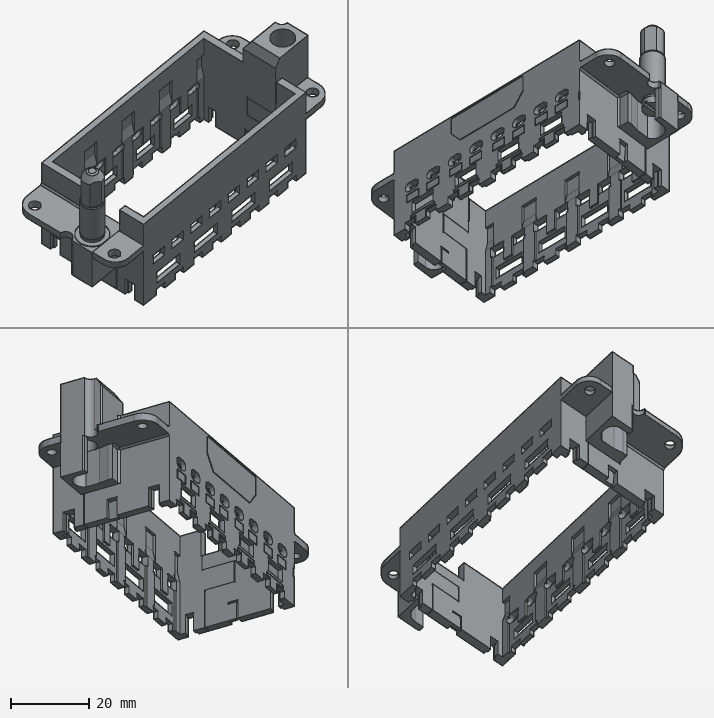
import cadquery as cq
import math

FRAME_W, FRAME_L, FRAME_H = 34.4, 63.55, 29.0
OPENING_W, OPENING_L = 30.8, 59.2
OUT_X, OUT_Y = FRAME_W / 2, FRAME_L / 2
IN_X, IN_Y = OPENING_W / 2, OPENING_L / 2
OVERALL_L = 84.5
END_Y = OVERALL_L / 2
WALL = OUT_X - IN_X

FLANGE_BOTTOM, FLANGE_TOP = 19.35, 21.4
FLANGE_END_Y = 42.1
FLANGE_CORNER_R = 4.5
MOUNT_X, MOUNT_Y = 13.4, 38.8
MOUNT_R, MOUNT_RIM_R = 1.35, 1.6
NOTCH_R = 1.9
CORNER_STRIP = 0.5

BLOCK_LEFT, BLOCK_RIGHT = -2.2, 8.9
BLOCK_BOTTOM = 9.0
SHELF_Y, SHELF_RIGHT = 35.0, -0.85
POCKET_LEFT, POCKET_Y = 1.9, 34.6
LIP_Y, LIP_LEFT = 40.65, 1.9
FACE_LEFT = 2.4
GUIDE_X, GUIDE_Y = 4.65, 37.3
POCKET_FLAT = 0.4
POCKET_R = LIP_Y - GUIDE_Y - POCKET_FLAT
TOWER_TOP, TOWER_BEVEL_H, TOWER_BEVEL = 36.3, 2.5, 1.6
TOWER_STEP_Y, TOWER_CORNER = 40.4, 0.4
TOWER_BORE_R = 3.3

JOINT_X = BLOCK_RIGHT
JOINT_GAP = 0.25
FINGER_TIP = -0.85
FINGER_BOTTOM, FINGER_TOP = 11.0, 17.15
LOWER_JOINT_X = 7.95

SLOT_H = 5.4
SIDE_SLOT_X, SIDE_SLOT_W, SIDE_SLOT_INNER_W = 12.6, 3.2, 2.4
SLOT_STEP_Y = 30.85
MID_SLOT_LEFT, MID_SLOT_RIGHT = -1.7, 1.3
TONGUE_LEFT, TONGUE_H = -1.3, 4.9
TONGUE_TOP_T, TONGUE_TIP_T = 1.4, 0.9

MODULES = 4
MODULE_PITCH = 14.7
MODULE_Y = [MODULE_PITCH * (i - (MODULES - 1) / 2) for i in range(MODULES)]
WIRE_HOLE_PITCH = MODULE_PITCH / 2
WIRE_HOLE_Y = [WIRE_HOLE_PITCH * (i - (2 * MODULES - 1) / 2) for i in range(2 * MODULES)]
WIRE_HOLE_L, WIRE_HOLE_H, WIRE_HOLE_Z = 4.4, 3.0, 13.5
WINDOW_L, WIDE_WINDOW_L = 7.2, 8.95
WINDOW_BOTTOM, WINDOW_TOP = 4.1, 7.95
FOOT_NOTCH_L, FOOT_NOTCH_H = 3.3, 2.0
FOOT_L, FOOT_OFFSET = 4.05, 0.7
RECESS = 0.2
PAD_L, PAD_SPACING, PAD_BOTTOM, PAD_TOP = 4.05, 6.85, 8.7, 11.2
TEE_L, TEE_BOTTOM, TEE_TOP, TEE_STEM_L = 8.3, 2.5, 3.4, 3.4
LABEL_L, LABEL_BASE_L = 24.7, 18.5
LABEL_BOTTOM, LABEL_SHOULDER, LABEL_TOP = 19.35, 23.3, 28.5
LABEL_R = 0.5
KEY_L, KEY_DEPTH = 4.9, 0.8
KEY_BOTTOM, KEY_RAMP_TOP, KEY_TOP = 15.2, 18.5, 23.15
CELL_DEPTH, CELL_TOP = 0.5, 14.8
NICK = 0.3

WASHER_R, WASHER_T = 4.5, 0.25
WASHER_TOP = FLANGE_TOP + WASHER_T
PIN_TOP, PIN_R = 44.3, 3.3
NECK_R, NECK_TOP = 3.1, 22.65
SHOULDER_Z, HEAD_Z = 33.55, 34.05
HEAD_R, TIP_R, TIP_Z = 3.1, 1.6, 44.0
FLATS, FLAT_DISTANCE = 3, 2.7
CONE_BOTTOM, CROWN_R = 42.25, 1.0
SCREW_R, SCREW_TOP = 1.7, 27.0
SCREW_HEAD_R, SCREW_HEAD_BOTTOM, SCREW_HEAD_TOP = 2.7, 16.5, 18.7
SCREW_NECK_R = 2.6
DRIVE_W, DRIVE_H = 0.8, 0.85


def bar(x0, x1, y0, y1, z0, z1):
    """Axis-aligned bar between two opposite corners."""
    return cq.Workplane("XY").box(x1 - x0, y1 - y0, z1 - z0, centered=False).translate((x0, y0, z0))


def both_ends(shape):
    """The shape at the rear end together with its mirror image at the front end."""
    return shape.union(shape.mirror("XZ"))


def both_sides(shape):
    """The shape on the left wall together with its mirror image on the right wall."""
    return shape.union(shape.mirror("YZ"))


def corner_strip_x(x0, x1, y, z, dz):
    """Triangular strip along X in the corner at (y, z), reaching +Y and dz."""
    return (
        cq.Workplane("YZ").polyline([(y, z), (y + CORNER_STRIP, z), (y, z + dz)]).close()
        .extrude(x1 - x0).translate((x0, 0, 0))
    )


def corner_strip_y(x, y0, y1, z, dz):
    """Triangular strip along Y in the corner at (x, z), reaching -X and dz."""
    return (
        cq.Workplane("XZ").polyline([(x, z), (x - CORNER_STRIP, z), (x, z + dz)]).close()
        .extrude(y0 - y1).translate((0, y0, 0))
    )


def corner_strip_z(x, y, z0, z1):
    """Triangular upright strip in the corner at (x, y), reaching -X and +Y."""
    return (
        cq.Workplane("XY").polyline([(x, y), (x - CORNER_STRIP, y), (x, y + CORNER_STRIP)]).close()
        .extrude(z1 - z0).translate((0, 0, z0))
    )


def flanges():
    plate = bar(-OUT_X, OUT_X, -FLANGE_END_Y, FLANGE_END_Y, FLANGE_BOTTOM, FLANGE_TOP)
    return plate.edges("|Z").fillet(FLANGE_CORNER_R)


def mounting_holes():
    """Tapered through holes near the four flange corners."""
    depth = FLANGE_TOP - FLANGE_BOTTOM
    mounts = [(x, y) for x in (-MOUNT_X, MOUNT_X) for y in (-MOUNT_Y, MOUNT_Y)]
    taper = math.degrees(math.atan((MOUNT_RIM_R - MOUNT_R) / depth))
    holes = cq.Workplane("XY").pushPoints(mounts).circle(MOUNT_R).extrude(depth, taper=-taper)
    return holes.translate((0, 0, FLANGE_BOTTOM))


def block_outline():
    """Footprint of an end block: a shoulder, a pocket around the guide axis and an outer lip."""
    bore_x = GUIDE_X + math.sqrt(POCKET_R**2 - (GUIDE_Y - POCKET_Y) ** 2)
    inner_mid = math.asin((POCKET_Y - GUIDE_Y) / POCKET_R) / 2
    outer_mid = math.pi / 4
    outer_y = GUIDE_Y + POCKET_FLAT
    return (
        cq.Workplane("XY")
        .moveTo(BLOCK_LEFT, IN_Y)
        .lineTo(BLOCK_LEFT, SHELF_Y)
        .lineTo(SHELF_RIGHT, SHELF_Y)
        .lineTo(POCKET_LEFT, POCKET_Y)
        .lineTo(bore_x, POCKET_Y)
        .threePointArc(
            (GUIDE_X + POCKET_R * math.cos(inner_mid), GUIDE_Y + POCKET_R * math.sin(inner_mid)),
            (GUIDE_X + POCKET_R, GUIDE_Y),
        )
        .lineTo(GUIDE_X + POCKET_R, outer_y)
        .threePointArc(
            (GUIDE_X + POCKET_R * math.cos(outer_mid), outer_y + POCKET_R * math.sin(outer_mid)),
            (GUIDE_X, LIP_Y),
        )
        .lineTo(LIP_LEFT, LIP_Y)
        .lineTo(LIP_LEFT, FLANGE_END_Y)
        .lineTo(FACE_LEFT, END_Y)
        .lineTo(BLOCK_RIGHT, END_Y)
        .lineTo(BLOCK_RIGHT, IN_Y)
        .close()
    )


def end_block():
    block = block_outline().extrude(FLANGE_BOTTOM - BLOCK_BOTTOM).translate((0, 0, BLOCK_BOTTOM))
    face = bar(FACE_LEFT, BLOCK_RIGHT, LIP_Y, END_Y, FLANGE_BOTTOM, FLANGE_TOP)
    strips = corner_strip_z(BLOCK_LEFT, OUT_Y, BLOCK_BOTTOM, FLANGE_BOTTOM)
    strips = strips.union(corner_strip_x(-OUT_X, BLOCK_LEFT, OUT_Y, FLANGE_BOTTOM, -CORNER_STRIP))
    strips = strips.union(corner_strip_x(-OUT_X, BLOCK_LEFT, OUT_Y, FLANGE_TOP, CORNER_STRIP))
    strips = strips.union(corner_strip_y(BLOCK_LEFT, OUT_Y, SHELF_Y, FLANGE_BOTTOM, -CORNER_STRIP))
    return block.union(face).union(strips)


def tower():
    """Socket block on the rear flange, bevelled on its left and inner sides."""
    body = bar(BLOCK_LEFT, BLOCK_RIGHT, IN_Y, END_Y, FLANGE_BOTTOM, TOWER_TOP)
    bevelled = body.edges(">Z").edges("<X or <Y").chamfer(TOWER_BEVEL_H, TOWER_BEVEL)
    corner_y = TOWER_STEP_Y - TOWER_CORNER
    step = (
        cq.Workplane("XY")
        .polyline([
            (BLOCK_LEFT, corner_y),
            (BLOCK_LEFT + TOWER_CORNER, TOWER_STEP_Y),
            (0, TOWER_STEP_Y),
            (0, END_Y),
            (BLOCK_LEFT, END_Y),
        ]).close()
        .extrude(TOWER_TOP - FLANGE_TOP).translate((0, 0, FLANGE_TOP))
    )
    foot = corner_strip_z(BLOCK_LEFT, OUT_Y, FLANGE_TOP, FRAME_H)
    foot = foot.union(corner_strip_y(BLOCK_LEFT, OUT_Y, corner_y, FLANGE_TOP, CORNER_STRIP))
    return bevelled.cut(step).union(foot)


def end_slots():
    """Middle slot and two stepped side slots in the lower edge of an end wall."""
    slots = bar(MID_SLOT_LEFT, MID_SLOT_RIGHT, IN_Y, OUT_Y, 0, SLOT_H)
    for x in (-SIDE_SLOT_X, SIDE_SLOT_X):
        outer, inner = SIDE_SLOT_W / 2, SIDE_SLOT_INNER_W / 2
        slots = slots.union(bar(x - outer, x + outer, SLOT_STEP_Y, OUT_Y, 0, SLOT_H))
        slots = slots.union(bar(x - inner, x + inner, IN_Y, SLOT_STEP_Y, 0, SLOT_H))
    return slots


def end_tongue():
    """Tongue standing in the middle slot, thinner toward its lower edge."""
    return (
        cq.Workplane("YZ")
        .polyline([
            (IN_Y, 0),
            (IN_Y, TONGUE_H),
            (IN_Y + TONGUE_TOP_T, TONGUE_H),
            (IN_Y + TONGUE_TIP_T, 0),
        ]).close()
        .extrude(MID_SLOT_RIGHT - TONGUE_LEFT).translate((TONGUE_LEFT, 0, 0))
    )


def wall_cut(y, length, z0, z1, depth):
    """Rectangular cut of a given depth into the outside of the left wall."""
    return bar(-OUT_X, -OUT_X + depth, y - length / 2, y + length / 2, z0, z1)


def left_wire_holes():
    """Oval wire holes."""
    return (
        cq.Workplane("YZ").pushPoints([(y, WIRE_HOLE_Z) for y in WIRE_HOLE_Y]).slot2D(WIRE_HOLE_L, WIRE_HOLE_H)
        .extrude(WALL).translate((-OUT_X, 0, 0))
    )


def right_wire_holes():
    """Rectangular wire holes."""
    return (
        cq.Workplane("YZ").pushPoints([(y, WIRE_HOLE_Z) for y in WIRE_HOLE_Y]).rect(WIRE_HOLE_L, WIRE_HOLE_H)
        .extrude(WALL).translate((IN_X, 0, 0))
    )


def wall_openings(window_l):
    """Windows and foot notches of one long wall."""
    cuts = cq.Workplane("XY")
    for y in MODULE_Y:
        cuts = cuts.union(wall_cut(y, window_l, WINDOW_BOTTOM, WINDOW_TOP, WALL))
        foot_y = y + FOOT_OFFSET
        for side in (-1, 1):
            notch_y = foot_y + side * (FOOT_L + FOOT_NOTCH_L) / 2
            cuts = cuts.union(wall_cut(notch_y, FOOT_NOTCH_L, 0, FOOT_NOTCH_H, WALL))
    return cuts


def label_recess():
    outline = [
        (-LABEL_L / 2, LABEL_TOP),
        (LABEL_L / 2, LABEL_TOP),
        (LABEL_L / 2, LABEL_SHOULDER),
        (LABEL_BASE_L / 2, LABEL_BOTTOM),
        (-LABEL_BASE_L / 2, LABEL_BOTTOM),
        (-LABEL_L / 2, LABEL_SHOULDER),
    ]
    plate = cq.Workplane("YZ").polyline(outline).close().extrude(RECESS).translate((-OUT_X, 0, 0))
    return plate.edges("|X and >Z").fillet(LABEL_R)


def outside_recesses():
    """Shallow label panel, corner nick, tee marks and pads on the left wall."""
    cuts = label_recess()
    cuts = cuts.union(bar(-OUT_X, -OUT_X + RECESS, -OUT_Y, -OUT_Y + NICK, PAD_BOTTOM, PAD_TOP))
    for y in MODULE_Y:
        cuts = cuts.union(wall_cut(y, TEE_L, TEE_BOTTOM, TEE_TOP, RECESS))
        cuts = cuts.union(wall_cut(y + FOOT_OFFSET, TEE_STEM_L, 0, TEE_BOTTOM, RECESS))
        for side in (-1, 1):
            cuts = cuts.union(wall_cut(y + side * PAD_SPACING / 2, PAD_L, PAD_BOTTOM, PAD_TOP, RECESS))
    return cuts


def inside_recesses():
    """Keyways with a ramped foot between the modules, and cells at the wire holes, joined below."""
    key = (
        cq.Workplane("XZ")
        .polyline([
            (-IN_X, KEY_BOTTOM),
            (-IN_X - KEY_DEPTH, KEY_RAMP_TOP),
            (-IN_X - KEY_DEPTH, KEY_TOP),
            (-IN_X, KEY_TOP),
        ]).close()
        .extrude(KEY_L / 2, both=True)
    )
    room = bar(-OUT_X, 0, -IN_Y, IN_Y, 0, FRAME_H)
    cuts = cq.Workplane("XY")
    for i in range(MODULES + 1):
        cuts = cuts.union(key.translate((0, MODULE_PITCH * (i - MODULES / 2), 0)).intersect(room))
    face = -IN_X
    half_cells = (PAD_SPACING + PAD_L) / 2
    for y in MODULE_Y:
        cuts = cuts.union(bar(face - CELL_DEPTH, face, y - half_cells, y + half_cells, 0, PAD_BOTTOM))
        for side in (-1, 1):
            y0 = y + side * PAD_SPACING / 2 - PAD_L / 2
            cuts = cuts.union(bar(face - CELL_DEPTH, face, y0, y0 + PAD_L, PAD_BOTTOM, CELL_TOP))
    return cuts


def frame():
    """Both frame halves in one piece, before they are parted at the joint."""
    opening = bar(-IN_X, IN_X, -IN_Y, IN_Y, 0, FRAME_H)
    body = bar(-OUT_X, OUT_X, -OUT_Y, OUT_Y, 0, FRAME_H).union(flanges())
    front_gap = bar(BLOCK_LEFT - JOINT_GAP, JOINT_X + JOINT_GAP, -END_Y, -IN_Y, FLANGE_TOP, FRAME_H)
    body = body.union(both_ends(end_block())).cut(front_gap)
    body = body.union(tower()).cut(opening)

    notch = cq.Workplane("XY").center(0, END_Y).circle(NOTCH_R).extrude(TOWER_TOP)
    body = body.cut(both_ends(notch))
    body = body.cut(mounting_holes())
    bore = cq.Workplane("XY").center(GUIDE_X, GUIDE_Y).circle(TOWER_BORE_R).extrude(TOWER_TOP - FLANGE_BOTTOM)
    screw_hole = cq.Workplane("XY").center(GUIDE_X, -GUIDE_Y).circle(SCREW_R).extrude(FLANGE_TOP)
    body = body.cut(bore.translate((0, 0, FLANGE_BOTTOM))).cut(screw_hole)

    body = body.cut(both_ends(end_slots())).union(both_ends(end_tongue()))
    body = body.cut(left_wire_holes()).cut(wall_openings(WINDOW_L))
    body = body.cut(right_wire_holes()).cut(wall_openings(WIDE_WINDOW_L).mirror("YZ"))
    body = body.cut(both_sides(inside_recesses()))
    return body.cut(outside_recesses())


def right_zone():
    """Space of the right half: right of the joint, plus its fingers inside the end walls."""
    side = bar(JOINT_X, OUT_X, -END_Y, END_Y, BLOCK_BOTTOM, FRAME_H)
    finger = bar(FINGER_TIP, JOINT_X, IN_Y, OUT_Y, FINGER_BOTTOM, FINGER_TOP)
    lower = bar(LOWER_JOINT_X, OUT_X, -OUT_Y, OUT_Y, 0, FINGER_BOTTOM)
    return side.union(both_ends(finger)).union(lower)


def joint_gaps():
    """Narrow clearances at the right half's edges of the joint."""
    upper = bar(JOINT_X, JOINT_X + JOINT_GAP, IN_Y, OUT_Y, FLANGE_TOP, FRAME_H)
    lower = bar(LOWER_JOINT_X, LOWER_JOINT_X + JOINT_GAP, IN_Y, OUT_Y, 0, FINGER_BOTTOM)
    tip = bar(FINGER_TIP, FINGER_TIP + JOINT_GAP, IN_Y, OUT_Y, FINGER_BOTTOM, FINGER_TOP)
    return both_ends(upper.union(lower).union(tip))


def at_guide(shape):
    """The shape moved onto the guide axis at the front end."""
    return shape.translate((GUIDE_X, -GUIDE_Y, 0))


def guide_pin():
    profile = [
        (0, WASHER_TOP),
        (NECK_R, WASHER_TOP),
        (NECK_R, NECK_TOP),
        (PIN_R, NECK_TOP),
        (PIN_R, SHOULDER_Z),
        (HEAD_R, HEAD_Z),
        (HEAD_R, CONE_BOTTOM),
        (TIP_R, TIP_Z),
        (CROWN_R, PIN_TOP),
        (0, PIN_TOP),
    ]
    pin = cq.Workplane("XZ").polyline(profile).close().revolve(360, (0, 0, 0), (0, 1, 0))
    flat = bar(FLAT_DISTANCE, PIN_R, -PIN_R, PIN_R, HEAD_Z, PIN_TOP)
    for i in range(FLATS):
        pin = pin.cut(flat.rotate((0, 0, 0), (0, 0, 1), 90 + i * 360 / FLATS))
    socket = cq.Workplane("XY").circle(SCREW_R).extrude(SCREW_TOP)
    return at_guide(pin.cut(socket))


def washer():
    """Thin washer under the pin, trimmed at the joint."""
    ring = cq.Workplane("XY").circle(WASHER_R).circle(SCREW_R).extrude(WASHER_T)
    placed = at_guide(ring.translate((0, 0, FLANGE_TOP)))
    return placed.cut(bar(JOINT_X, OUT_X, -END_Y, 0, FLANGE_TOP, WASHER_TOP))


def screw():
    """Slotted screw holding the pin from below the flange."""
    profile = [
        (0, SCREW_HEAD_BOTTOM),
        (SCREW_HEAD_R, SCREW_HEAD_BOTTOM),
        (SCREW_HEAD_R, SCREW_HEAD_TOP),
        (SCREW_NECK_R, SCREW_HEAD_TOP),
        (SCREW_NECK_R, FLANGE_BOTTOM),
        (SCREW_R, FLANGE_BOTTOM),
        (SCREW_R, SCREW_TOP),
        (0, SCREW_TOP),
    ]
    body = cq.Workplane("XZ").polyline(profile).close().revolve(360, (0, 0, 0), (0, 1, 0))
    drive = bar(-SCREW_HEAD_R, SCREW_HEAD_R, -DRIVE_W / 2, DRIVE_W / 2,
                SCREW_HEAD_BOTTOM, SCREW_HEAD_BOTTOM + DRIVE_H)
    return at_guide(body.cut(drive))


whole_frame = frame()
left_frame = whole_frame.cut(right_zone())
right_frame = whole_frame.intersect(right_zone()).cut(joint_gaps())

result = cq.Compound.makeCompound([
    left_frame.val(),
    right_frame.val(),
    guide_pin().val(),
    washer().val(),
    screw().val(),
])